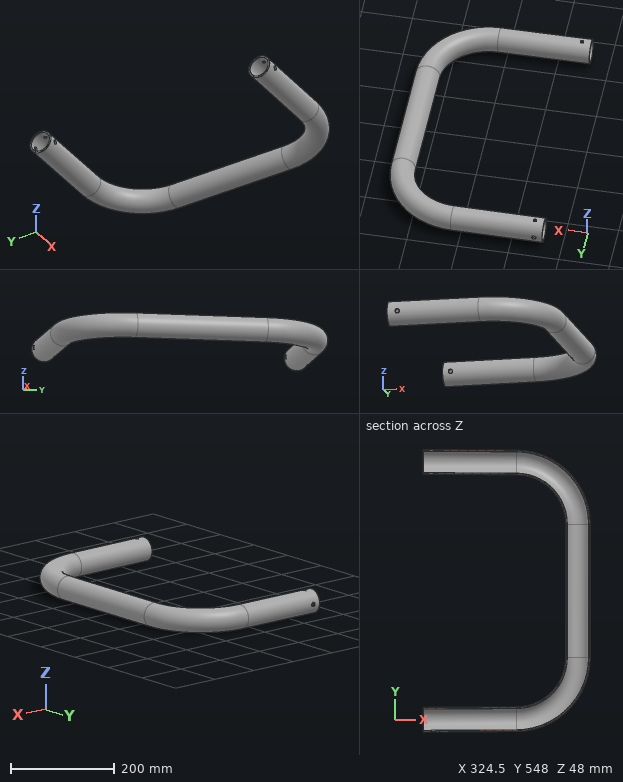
import cadquery as cq
import math

tube_diameter = 48.0
bore_diameter = 41.0

overall_width = 548.0
bend_radius = 120.0
leg_length = 181.0
splay_angle = 0.3

side_hole_diameter = 8.0
front_side_hole_setback = 20.5
rear_side_hole_setback = 16.0
top_hole_diameter = 6.0
top_hole_setback = 18.0

splay = math.radians(splay_angle)
leg_run = leg_length * math.cos(splay)
leg_rise = leg_length * math.sin(splay)
bend_run = bend_radius * (1 - math.sin(splay))
bend_rise = bend_radius * math.cos(splay)

end_y = overall_width / 2 - tube_diameter / 2 * math.cos(splay)
bend_end_y = end_y - leg_rise
bar_half_length = bend_end_y - bend_rise
bar_x = leg_run + bend_run


def bend_middle(side):
    """Midpoint of a bend's arc; side is +1 or -1 along Y."""
    half_turn = (math.pi / 2 - splay) / 2
    x = bar_x - bend_radius * (1 - math.cos(half_turn))
    return x, side * (bar_half_length + bend_radius * math.sin(half_turn))


def sweep_along_centreline(diameter):
    """Solid round bar following the whole centreline."""
    centreline = (
        cq.Workplane("XY")
        .moveTo(0, -end_y)
        .lineTo(leg_run, -bend_end_y)
        .threePointArc(bend_middle(-1), (bar_x, -bar_half_length))
        .lineTo(bar_x, bar_half_length)
        .threePointArc(bend_middle(1), (leg_run, bend_end_y))
        .lineTo(0, end_y)
    )
    start = cq.Plane(
        origin=(0, -end_y, 0),
        xDir=(0, 0, 1),
        normal=(math.cos(splay), math.sin(splay), 0),
    )
    return cq.Workplane(start).circle(diameter / 2).sweep(centreline)


def leg_frame(side):
    """End centre, inward axis and outward sideways direction of a leg; side is +1 or -1 along Y."""
    end_centre = cq.Vector(0, side * end_y, 0)
    inward = cq.Vector(math.cos(splay), -side * math.sin(splay), 0)
    outward = cq.Vector(math.sin(splay), side * math.cos(splay), 0)
    return end_centre, inward, outward


def top_hole(side):
    """Cutter through the top wall of a leg."""
    end_centre, inward, _ = leg_frame(side)
    centre = end_centre + inward * top_hole_setback
    return cq.Solid.makeCylinder(top_hole_diameter / 2, tube_diameter, centre, cq.Vector(0, 0, 1))


def side_hole(side, setback, through):
    """Cutter through the outer side wall of a leg, or through both side walls."""
    end_centre, inward, outward = leg_frame(side)
    start = end_centre + inward * setback
    length = tube_diameter
    if through:
        start = start - outward * tube_diameter
        length = 2 * tube_diameter
    return cq.Solid.makeCylinder(side_hole_diameter / 2, length, start, outward)


result = sweep_along_centreline(tube_diameter).cut(sweep_along_centreline(bore_diameter))

for leg_side in (-1, 1):
    result = result.cut(cq.Workplane(top_hole(leg_side)))

result = result.cut(cq.Workplane(side_hole(-1, front_side_hole_setback, through=False)))
result = result.cut(cq.Workplane(side_hole(1, rear_side_hole_setback, through=True)))